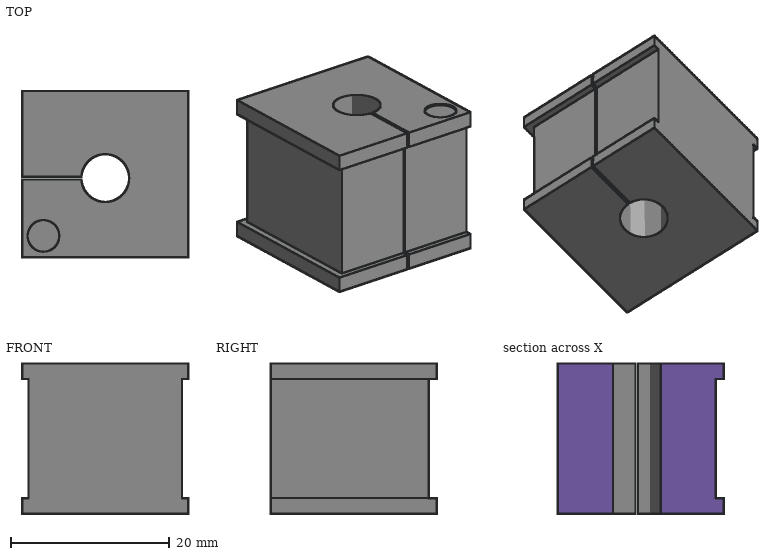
import cadquery as cq

WIDTH = 21.0
DEPTH = 21.0
HEIGHT = 19.0
FLANGE_THICKNESS = 2.0

SIDE_RECESS = 0.8
BACK_RECESS = 1.0

BORE_DIAMETER = 6.0
SLIT_WIDTH = 0.3

LABEL_DIAMETER = 4.0
LABEL_DEPTH = 0.2
LABEL_X = -7.8
LABEL_Y = -7.8

waist_width = WIDTH - 2 * SIDE_RECESS
waist_depth = DEPTH - BACK_RECESS
waist_height = HEIGHT - 2 * FLANGE_THICKNESS
bore_y = -BACK_RECESS / 2


def make_flange(bottom_z):
    """Full-size square plate whose underside is at bottom_z."""
    return (
        cq.Workplane("XY")
        .workplane(offset=bottom_z)
        .rect(WIDTH, DEPTH)
        .extrude(FLANGE_THICKNESS)
    )


def make_waist():
    """Narrower block joining the flanges, overlapping neither of them."""
    return (
        cq.Workplane("XY")
        .workplane(offset=FLANGE_THICKNESS)
        .center(0, bore_y)
        .rect(waist_width, waist_depth)
        .extrude(waist_height)
    )


def make_bore():
    """Cylinder that passes through the full height."""
    return cq.Workplane("XY").center(0, bore_y).circle(BORE_DIAMETER / 2).extrude(HEIGHT)


def make_slit():
    """Thin full-height cut from the -X face to the bore centre."""
    slit_length = WIDTH / 2
    return (
        cq.Workplane("XY")
        .center(-slit_length / 2, bore_y)
        .rect(slit_length, SLIT_WIDTH)
        .extrude(HEIGHT)
    )


def make_label_recess():
    """Shallow disc cut down from the top face."""
    return (
        cq.Workplane("XY")
        .workplane(offset=HEIGHT - LABEL_DEPTH)
        .center(LABEL_X, LABEL_Y)
        .circle(LABEL_DIAMETER / 2)
        .extrude(LABEL_DEPTH)
    )


top_flange_z = HEIGHT - FLANGE_THICKNESS

body = make_flange(0).union(make_waist()).union(make_flange(top_flange_z))
result = body.cut(make_bore()).cut(make_slit()).cut(make_label_recess())